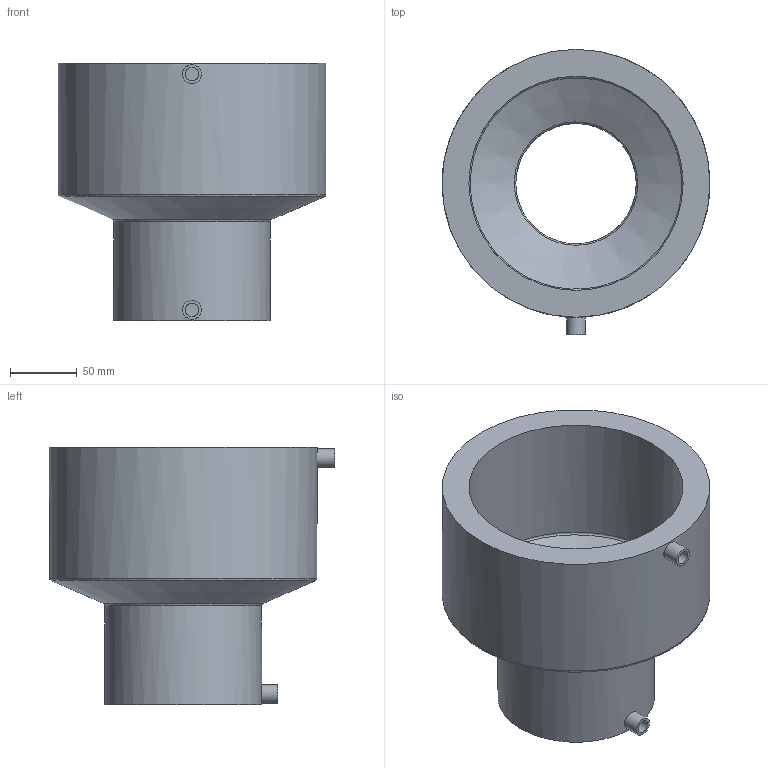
import cadquery as cq

total_height = 192.0
socket_outer_radius = 100.0
socket_bore_radius = 80.0
neck_outer_radius = 58.5
neck_bore_radius = 45.0
cone_top_z = 93.0
cone_bottom_z = 75.0
cone_blend_radius = 2.0

terminal_outer_radius = 7.0
terminal_hole_radius = 5.0
terminal_end_offset = 8.0
socket_terminal_length = 13.0
neck_terminal_length = 12.0


def revolved_reducer(socket_radius, neck_radius):
    """Solid of revolution about Z, blended where the cone meets the cylinders."""
    profile = (
        cq.Workplane("XZ")
        .lineTo(neck_radius, 0)
        .lineTo(neck_radius, cone_bottom_z)
        .lineTo(socket_radius, cone_top_z)
        .lineTo(socket_radius, total_height)
        .lineTo(0, total_height)
        .close()
    )
    body = profile.revolve(360, (0, 0, 0), (0, 1, 0))
    cone_edges = body.faces("%CONE").edges("%CIRCLE")
    return cone_edges.fillet(cone_blend_radius)


def terminal_tube(wall_radius, length, height):
    """Tube along -Y, from the Z axis to the given length beyond the outer wall."""
    return (
        cq.Workplane("XZ", origin=(0, 0, height))
        .circle(terminal_outer_radius)
        .circle(terminal_hole_radius)
        .extrude(wall_radius + length)
    )


outer_body = revolved_reducer(socket_outer_radius, neck_outer_radius)
inner_space = revolved_reducer(socket_bore_radius, neck_bore_radius)
socket_terminal = terminal_tube(
    socket_outer_radius, socket_terminal_length, total_height - terminal_end_offset
)
neck_terminal = terminal_tube(neck_outer_radius, neck_terminal_length, terminal_end_offset)

result = outer_body.cut(inner_space)
for terminal in (socket_terminal, neck_terminal):
    result = result.union(terminal.cut(outer_body))